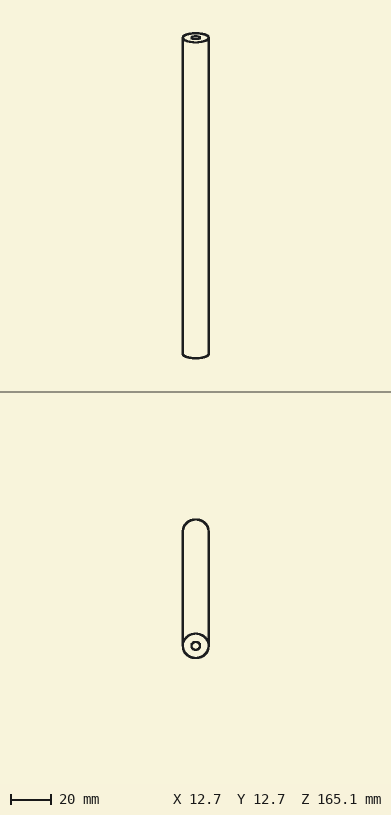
import cadquery as cq

length = 165.1
outer_diameter = 12.7
bore_diameter = 4.1

result = (
    cq.Workplane("XY")
    .circle(outer_diameter / 2)
    .circle(bore_diameter / 2)
    .extrude(length)
)